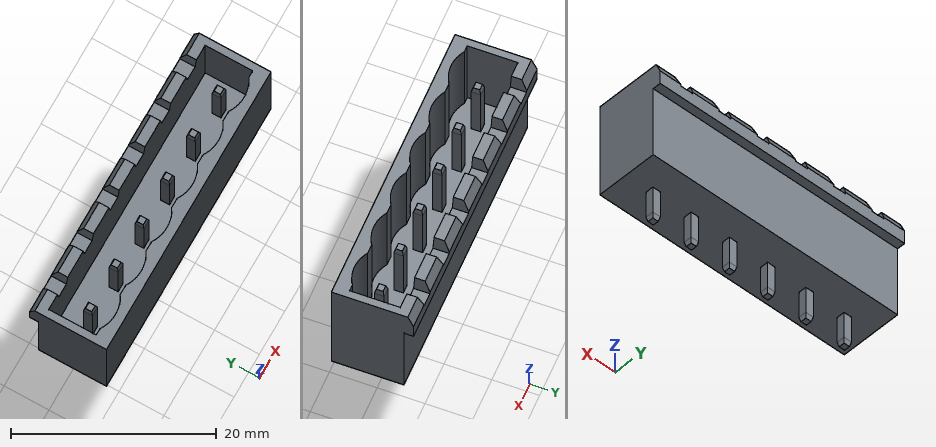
import cadquery as cq

pin_count = 6
pitch = 5.08
pin_width = 1.0
pin_tip_width = 0.7
pin_taper_length = 0.6
pin_bottom_z = -4.0
pin_top_z = 10.0

end_margin = 3.54
housing_length = (pin_count - 1) * pitch + 2 * end_margin
housing_depth = 7.6
housing_height = 12.0
front_y = -housing_depth / 2
back_y = housing_depth / 2

lip_overhang = 1.0
lip_height = 3.0
lip_bevel_depth = 0.6
lip_bevel_height = 1.3

end_wall = 0.8
back_wall = 0.7
front_wall = 1.6
floor_thickness = 3.0
cavity_length = housing_length - 2 * end_wall
cavity_front_y = front_y + front_wall
cavity_back_y = back_y - back_wall

scallop_width = 4.0
scallop_depth = 0.6

notch_floor_width = 1.5
notch_top_width = 2.04
notch_depth = 1.5

pin_positions = [(i - (pin_count - 1) / 2) * pitch for i in range(pin_count)]


def make_housing():
    """Side profile of the block and its lip, extruded along X."""
    lip_y = back_y + lip_overhang
    profile = [
        (front_y, 0),
        (back_y, 0),
        (back_y, housing_height - lip_height),
        (lip_y, housing_height - lip_height),
        (lip_y, housing_height - lip_bevel_height),
        (lip_y - lip_bevel_depth, housing_height),
        (front_y, housing_height),
    ]
    return cq.Workplane("YZ").polyline(profile).close().extrude(housing_length / 2, both=True)


def make_cavity():
    """Cavity volume whose front edge alternates flats and outward arcs."""
    outline = cq.Workplane("XY", origin=(0, 0, floor_thickness))
    outline = outline.moveTo(-cavity_length / 2, cavity_back_y)
    outline = outline.lineTo(-cavity_length / 2, cavity_front_y)
    for x in pin_positions:
        outline = outline.lineTo(x - scallop_width / 2, cavity_front_y)
        outline = outline.threePointArc(
            (x, cavity_front_y - scallop_depth),
            (x + scallop_width / 2, cavity_front_y),
        )
    outline = outline.lineTo(cavity_length / 2, cavity_front_y)
    outline = outline.lineTo(cavity_length / 2, cavity_back_y)
    return outline.close().extrude(housing_height - floor_thickness)


def make_notch(x):
    """Trapezoidal notch volume running from the cavity out through the lip."""
    notch_floor_z = housing_height - notch_depth
    profile = [
        (x - notch_floor_width / 2, notch_floor_z),
        (x + notch_floor_width / 2, notch_floor_z),
        (x + notch_top_width / 2, housing_height),
        (x - notch_top_width / 2, housing_height),
    ]
    section = cq.Workplane("XZ", origin=(0, cavity_back_y, 0)).polyline(profile).close()
    return section.extrude(-(back_wall + lip_overhang))


def make_pin_tip(x, shoulder_z, direction):
    """Tapered pin end pointing up (direction 1) or down (direction -1)."""
    return (
        cq.Workplane("XY", origin=(x, 0, shoulder_z))
        .rect(pin_width, pin_width)
        .workplane(offset=direction * pin_taper_length)
        .rect(pin_tip_width, pin_tip_width)
        .loft(combine=True)
    )


def make_pin(x):
    """Square pin with a taper at both ends."""
    lower_shoulder_z = pin_bottom_z + pin_taper_length
    upper_shoulder_z = pin_top_z - pin_taper_length
    shank = (
        cq.Workplane("XY", origin=(x, 0, lower_shoulder_z))
        .rect(pin_width, pin_width)
        .extrude(upper_shoulder_z - lower_shoulder_z)
    )
    lower_tip = make_pin_tip(x, lower_shoulder_z, -1)
    upper_tip = make_pin_tip(x, upper_shoulder_z, 1)
    return shank.union(lower_tip).union(upper_tip)


result = make_housing().cut(make_cavity())
for pin_x in pin_positions:
    result = result.cut(make_notch(pin_x))
    result = result.union(make_pin(pin_x))